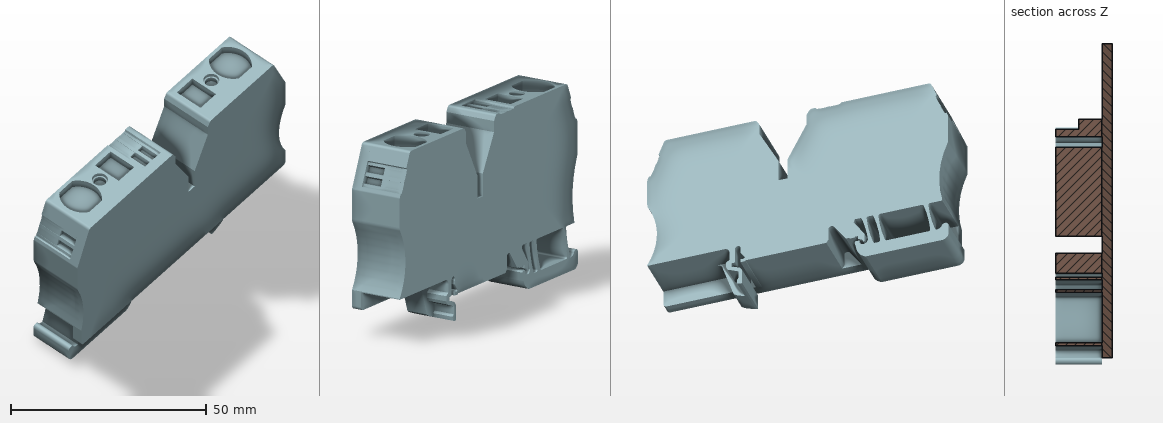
import cadquery as cq
import math


housing_width = 11.9
cover_width = 2.8

top_z = 50.5
left_y = 41.1
right_y = -40.9
middle_y = (left_y + right_y) / 2
shoulder_inset = 4.8
shoulder_z = 39.05
waist_top_z = 30.6
left_waist_y = 38.5
left_waist_bottom_z = 12.2
right_waist_y = -38.55
right_waist_z = 19.5
right_foot_y = -39.4
right_waist_bottom_z = 12.9
top_corner_radius = 1.0
shoulder_radius = 0.8
waist_radius = 2.05

notch_y = 4.0
notch_half_width = 6.4
notch_lead_in = 0.9
notch_lead_in_z = 48.9
notch_funnel_top_z = 45.95
notch_slot_half_width = 1.2
notch_slot_top_z = 36.2
notch_floor_z = 30.1
notch_corner_radius = 0.9

cover_bottom_z = 7.0
cover_corner_radius = 1.0
left_underside_z = 11.9
foot_slot_top_z = 12.5
rail_seat_z = cover_bottom_z
rail_lip_z = 6.7

foot_top_z = 3.7
foot_end_y = -41.1
foot_end_radius = 1.8
leg_positions = (-19.0, -22.2, -35.8)
leg_lean = 1.0
leg_end_half_width = 0.7
leg_middle_half_width = 0.37
leg_corner_radius = 0.5
leg_overlap = 0.8
pick_margin = 0.1

web_start_x = housing_width / 2

opening_x = housing_width / 2
wire_entry_offset = 29.5
wire_entry_half_x = 5.0
wire_entry_half_y = 5.1
wire_entry_flat = 2.55
wire_entry_depth = 2.4
screw_offset = 21.95
screw_mouth_diameter = 4.1
screw_mouth_depth = 1.0
screw_diameter = 3.3
screw_depth = 2.4
test_window_offset = 16.1
test_window_x = 8.0
test_window_y = 6.1
test_window_depth = 2.4

seat_length = 6.9
seat_depth = 0.45
seat_draft = 0.25
slot_pitch = 3.0
slot_width = 2.0
slot_step_x = 6.65
track_depth = 0.1
slot_depth = 1.4
slot_draft = 0.29
top_seat_y = -8.3
shoulder_seat_distance = 7.9

shoulder_drop = top_z - shoulder_z
shoulder_angle = math.degrees(math.atan2(shoulder_drop, shoulder_inset))


def upper_outline():
    """Open outline from the lower +Y end, over the top, to the lower -Y end."""
    return (
        cq.Workplane("YZ")
        .moveTo(left_y, left_waist_bottom_z)
        .threePointArc((left_waist_y, (left_waist_bottom_z + waist_top_z) / 2), (left_y, waist_top_z))
        .lineTo(left_y, shoulder_z)
        .lineTo(left_y - shoulder_inset, top_z)
        .lineTo(notch_y + notch_half_width + notch_lead_in, top_z)
        .lineTo(notch_y + notch_half_width, notch_lead_in_z)
        .lineTo(notch_y + notch_half_width, notch_funnel_top_z)
        .lineTo(notch_y + notch_slot_half_width, notch_slot_top_z)
        .lineTo(notch_y + notch_slot_half_width, notch_floor_z)
        .lineTo(notch_y - notch_slot_half_width, notch_floor_z)
        .lineTo(notch_y - notch_slot_half_width, notch_slot_top_z)
        .lineTo(notch_y - notch_half_width, notch_funnel_top_z)
        .lineTo(notch_y - notch_half_width, notch_lead_in_z)
        .lineTo(notch_y - notch_half_width - notch_lead_in, top_z)
        .lineTo(right_y + shoulder_inset, top_z)
        .lineTo(right_y, shoulder_z)
        .lineTo(right_y, waist_top_z)
        .threePointArc((right_waist_y, right_waist_z), (right_foot_y, right_waist_bottom_z))
    )


def fillet_corner(solid, y, z, radius):
    """Round the edge that runs along X nearest to the corner (y, z)."""
    corner = cq.selectors.NearestToPointSelector((solid.val().Center().x, y, z))
    return solid.edges("|X").edges(corner).fillet(radius)


def round_upper_corners(solid):
    for end_y, inward in ((left_y, -1), (right_y, 1)):
        solid = fillet_corner(solid, end_y + inward * shoulder_inset, top_z, top_corner_radius)
        solid = fillet_corner(solid, end_y, shoulder_z, shoulder_radius)
        solid = fillet_corner(solid, end_y, waist_top_z, waist_radius)
    for side in (1, -1):
        corner_y = notch_y + side * (notch_half_width + notch_lead_in)
        solid = fillet_corner(solid, corner_y, top_z, notch_corner_radius)
    return solid


def housing_block():
    """Main block with the rail recesses and the fixed hook along its underside."""
    outline = (
        upper_outline()
        .lineTo(right_foot_y, foot_slot_top_z)
        .lineTo(-15.45, foot_slot_top_z)
        .lineTo(-15.2, 11.7)
        .lineTo(-18.2, 7.2)
        .lineTo(-18.2, 4.9)
        .lineTo(-17.8, 4.9)
        .lineTo(-17.4, 5.7)
        .lineTo(-16.4, 6.0)
        .lineTo(-16.4, rail_seat_z)
        .lineTo(-15.5, rail_seat_z)
        .lineTo(-15.5, rail_lip_z)
        .lineTo(-14.1, rail_lip_z)
        .lineTo(-14.1, rail_seat_z)
        .lineTo(-13.1, rail_seat_z)
        .lineTo(-9.9, 11.5)
        .threePointArc((-9.05, 11.9), (-8.3, 11.35))
        .lineTo(-8.3, 7.8)
        .lineTo(-7.7, rail_seat_z)
        .lineTo(14.3, rail_seat_z)
        .lineTo(14.3, rail_lip_z)
        .lineTo(15.7, rail_lip_z)
        .lineTo(15.7, 7.65)
        .lineTo(14.8, 7.65)
        .lineTo(14.5, 8.0)
        .lineTo(15.7, 9.7)
        .lineTo(15.7, 10.8)
        .threePointArc((16.7, 11.9), (17.2, 11.35))
        .lineTo(17.2, rail_seat_z)
        .lineTo(18.2, rail_seat_z)
        .lineTo(18.2, 5.75)
        .lineTo(17.5, 5.75)
        .lineTo(15.8, 5.0)
        .lineTo(15.2, 4.2)
        .lineTo(15.2, 0)
        .lineTo(15.8, 0)
        .lineTo(16.6, 0.25)
        .lineTo(16.7, 1.3)
        .lineTo(16.2, 1.9)
        .lineTo(16.2, 3.95)
        .lineTo(19.2, 5.3)
        .lineTo(19.65, 6.2)
        .lineTo(19.65, 7.6)
        .lineTo(18.7, 8.2)
        .lineTo(18.7, 10.5)
        .threePointArc((19.1, 11.5), (20.05, left_underside_z))
        .lineTo(left_y, left_underside_z)
        .close()
    )
    return round_upper_corners(outline.extrude(housing_width))


def hook_web():
    """Web behind the fixed hook, closed off inside the hook and the block."""
    outline = (
        cq.Workplane("YZ", origin=(web_start_x, 0, 0))
        .moveTo(18.1, left_underside_z + 0.8)
        .lineTo(24.1, left_underside_z + 0.8)
        .lineTo(24.1, left_underside_z)
        .threePointArc((23.2, 11.5), (22.7, 10.5))
        .lineTo(19.7, 1.7)
        .lineTo(18.9, 1.15)
        .lineTo(16.6, 0.25)
        .lineTo(15.6, 0.8)
        .lineTo(15.6, 4.35)
        .lineTo(18.9, 5.7)
        .lineTo(19.1, 7.4)
        .lineTo(18.1, 8.2)
        .close()
    )
    return outline.extrude(housing_width - web_start_x)


def foot_base():
    """Sliding base with a rounded hook at the rail side and a finger bump at the end."""
    base = (
        cq.Workplane("YZ")
        .moveTo(-18.5, 0)
        .threePointArc((-17.2, 0.8), (-16.0, 2.7))
        .lineTo(-15.45, 5.1)
        .lineTo(-15.7, 5.5)
        .lineTo(-16.8, 5.5)
        .threePointArc((-17.8, 4.1), (-19.0, 5.1))
        .lineTo(-19.7, 5.1)
        .lineTo(-20.55, foot_top_z)
        .lineTo(-37.65, foot_top_z)
        .threePointArc((-38.55, 3.9), (-39.2, 4.5))
        .threePointArc((-40.45, 5.2), (foot_end_y, 4.3))
        .lineTo(foot_end_y, 0)
        .close()
        .extrude(housing_width)
    )
    return fillet_corner(base, foot_end_y, 0, foot_end_radius)


def foot_leg(leg_y):
    """Leaning spring leg, thinnest at mid height."""
    middle_z = (foot_top_z + foot_slot_top_z) / 2
    top_y = leg_y + leg_lean
    bottom_y = leg_y - leg_lean
    return (
        cq.Workplane("YZ")
        .moveTo(top_y + leg_end_half_width, foot_slot_top_z)
        .threePointArc(
            (leg_y + leg_middle_half_width, middle_z),
            (bottom_y + leg_end_half_width, foot_top_z),
        )
        .lineTo(bottom_y + leg_end_half_width, foot_top_z - leg_overlap)
        .lineTo(bottom_y - leg_end_half_width, foot_top_z - leg_overlap)
        .lineTo(bottom_y - leg_end_half_width, foot_top_z)
        .threePointArc(
            (leg_y - leg_middle_half_width, middle_z),
            (top_y - leg_end_half_width, foot_slot_top_z),
        )
        .lineTo(top_y - leg_end_half_width, foot_slot_top_z + leg_overlap)
        .lineTo(top_y + leg_end_half_width, foot_slot_top_z + leg_overlap)
        .close()
        .extrude(housing_width)
    )


def round_leg_roots(housing):
    """Round the corners where the legs meet the block and the base."""
    first_leg_y = leg_positions[0]
    last_leg_y = leg_positions[-1]
    root_reach = leg_lean + leg_end_half_width
    top_roots = cq.selectors.BoxSelector(
        (0, last_leg_y - leg_end_half_width, foot_slot_top_z - pick_margin),
        (housing_width, first_leg_y + root_reach + pick_margin, foot_slot_top_z + pick_margin),
    )
    bottom_roots = cq.selectors.BoxSelector(
        (0, last_leg_y - leg_lean + pick_margin, foot_top_z - pick_margin),
        (housing_width, first_leg_y - root_reach + pick_margin, foot_top_z + pick_margin),
    )
    return housing.edges("|X").edges(top_roots + bottom_roots).fillet(leg_corner_radius)


def terminal_openings(side):
    """Wire entry, screw hole and test window of one half of the top face."""
    top = cq.Workplane("XY", origin=(opening_x, middle_y, top_z))
    wire_entry = (
        top.center(0, side * wire_entry_offset)
        .moveTo(wire_entry_half_x, -wire_entry_flat)
        .lineTo(wire_entry_half_x, wire_entry_flat)
        .threePointArc((0, wire_entry_half_y), (-wire_entry_half_x, wire_entry_flat))
        .lineTo(-wire_entry_half_x, -wire_entry_flat)
        .threePointArc((0, -wire_entry_half_y), (wire_entry_half_x, -wire_entry_flat))
        .close()
        .extrude(-wire_entry_depth)
    )
    screw_place = top.center(0, side * screw_offset)
    screw_mouth = screw_place.circle(screw_mouth_diameter / 2).extrude(-screw_mouth_depth)
    screw_hole = screw_place.circle(screw_diameter / 2).extrude(-screw_depth)
    test_window = (
        top.center(0, side * test_window_offset)
        .rect(test_window_x, test_window_y)
        .extrude(-test_window_depth)
    )
    return wire_entry.union(screw_mouth).union(screw_hole).union(test_window)


def drafted_channel(start_x, end_x, center_y, surface_z, width, depth, draft):
    """Channel along X whose floor is narrower than its mouth by the draft on each side."""
    half_mouth = width / 2
    half_floor = half_mouth - draft
    return (
        cq.Workplane("YZ", origin=(start_x, center_y, surface_z))
        .polyline([(-half_mouth, 0), (half_mouth, 0), (half_floor, -depth), (-half_floor, -depth)])
        .close()
        .extrude(end_x - start_x)
    )


def marker_seat(y, z, tilt):
    """Marker seat centred at (y, z) on a face tilted about X by the given angle."""
    seat = drafted_channel(0, housing_width, 0, 0, seat_length, seat_depth, seat_draft)
    for side in (-1, 1):
        slot_y = side * slot_pitch / 2
        track = drafted_channel(0, slot_step_x, slot_y, -seat_depth, slot_width, track_depth, 0)
        slot = drafted_channel(
            slot_step_x, housing_width, slot_y, -seat_depth, slot_width, slot_depth, slot_draft
        )
        seat = seat.union(track).union(slot)
    return seat.rotate((0, 0, 0), (1, 0, 0), tilt).translate((0, y, z))


def shoulder_seat(end_y, side):
    """Marker seat on the sloped shoulder at one end; side is +1 at the +Y end."""
    angle = math.radians(shoulder_angle)
    seat_y = end_y - side * (shoulder_inset - shoulder_seat_distance * math.cos(angle))
    seat_z = top_z - shoulder_seat_distance * math.sin(angle)
    return marker_seat(seat_y, seat_z, -side * shoulder_angle)


def make_housing():
    housing = housing_block().union(hook_web()).union(foot_base())
    for leg_y in leg_positions:
        housing = housing.union(foot_leg(leg_y))
    housing = round_leg_roots(housing)
    for side in (1, -1):
        housing = housing.cut(terminal_openings(side))
    housing = housing.cut(marker_seat(top_seat_y, top_z, 0))
    housing = housing.cut(shoulder_seat(left_y, 1))
    return housing.cut(shoulder_seat(right_y, -1))


def make_cover():
    outline = (
        upper_outline()
        .lineTo(right_foot_y, cover_bottom_z)
        .lineTo(left_y, cover_bottom_z)
        .close()
    )
    cover = round_upper_corners(outline.extrude(cover_width))
    for end_y in (left_y, right_foot_y):
        cover = fillet_corner(cover, end_y, cover_bottom_z, cover_corner_radius)
    return cover.translate((housing_width, 0, 0))


housing = make_housing()
cover = make_cover()
result = cq.Compound.makeCompound([housing.solids().val(), cover.val()])